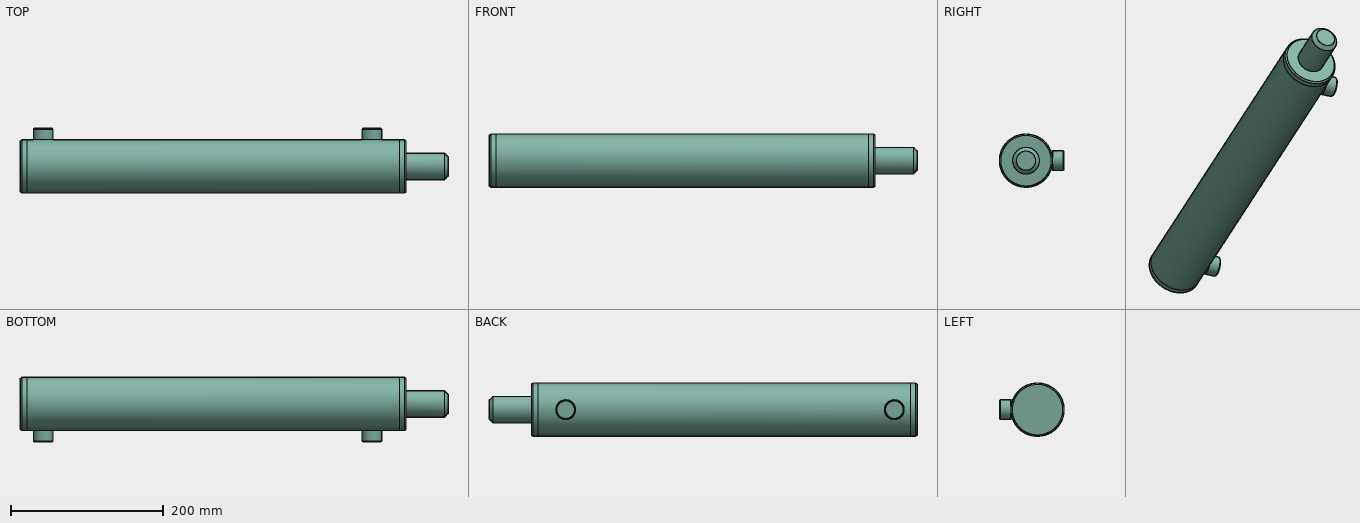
import cadquery as cq


body_diameter = 70.0
body_length = 505.0
end_length = 9.0
end_chamfer = 2.0

rod_diameter = 35.0
rod_reach = 55.0
rod_chamfer = 5.0

port_diameter = 26.0
port_height = 15.0
port_chamfer = 1.5
rear_port_position = 30.0
front_port_position = 460.0

barrel_length = body_length - 2 * end_length
head_start = end_length + barrel_length
port_top = body_diameter / 2 + port_height


def cylinder_along_x(start, length, diameter):
    return cq.Workplane("YZ", origin=(start, 0, 0)).circle(diameter / 2).extrude(length)


def make_barrel():
    return cylinder_along_x(end_length, barrel_length, body_diameter)


def make_rear_cap():
    cap = cylinder_along_x(0, end_length, body_diameter)
    return cap.faces("<X").chamfer(end_chamfer)


def make_head():
    head = cylinder_along_x(head_start, end_length, body_diameter)
    return head.faces(">X").chamfer(end_chamfer)


def make_rod():
    rod = cylinder_along_x(body_length, rod_reach, rod_diameter)
    return rod.faces(">X").chamfer(rod_chamfer)


def make_port(position):
    """Round boss pointing to +Y, its flat foot touching the barrel along one line."""
    return (
        cq.Workplane("XZ", origin=(position, port_top, 0))
        .circle(port_diameter / 2)
        .extrude(port_height)
        .faces(">Y")
        .chamfer(port_chamfer)
    )


barrel = make_barrel()
rear_cap = make_rear_cap()
head = make_head()
rod = make_rod()
ports = [make_port(position) for position in (rear_port_position, front_port_position)]

result = cq.Compound.makeCompound([
    barrel.val(),
    rear_cap.val(),
    head.val(),
    rod.val(),
    *[port.val() for port in ports],
])